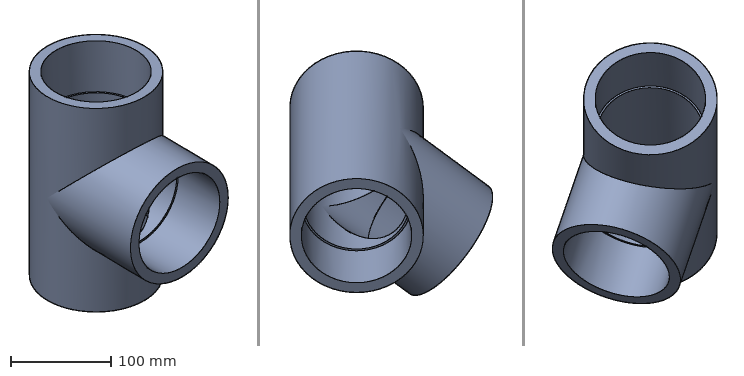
import cadquery as cq

run_length = 244.0
outer_diameter = 133.2
socket_diameter = 110.0
bore_diameter = 106.0
socket_depth = 61.0

reach = run_length / 2


def rod(plane, start, end, diameter):
    """Cylinder along the plane's normal between two distances from the centre."""
    return cq.Workplane(plane).workplane(offset=start).circle(diameter / 2).extrude(end - start)


run_body = rod("XY", -reach, reach, outer_diameter)
branch_body = rod("YZ", 0, reach, outer_diameter)
result = run_body.union(branch_body)

result = result.cut(rod("XY", -reach, reach, bore_diameter))
result = result.cut(rod("YZ", 0, reach, bore_diameter))

socket_start = reach - socket_depth
result = result.cut(rod("XY", socket_start, reach, socket_diameter))
result = result.cut(rod("XY", -reach, -socket_start, socket_diameter))
result = result.cut(rod("YZ", socket_start, reach, socket_diameter))